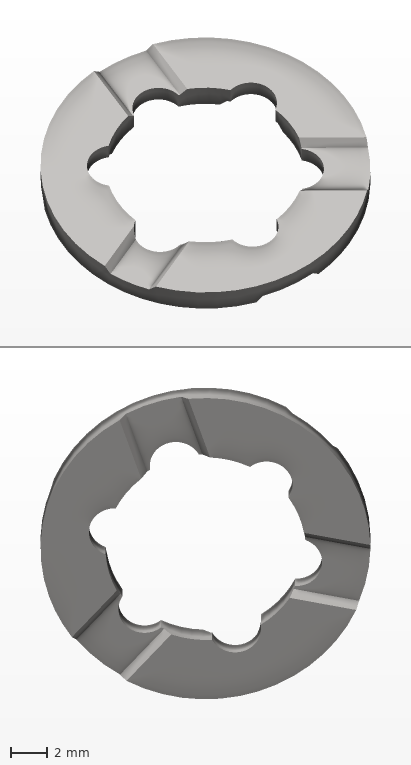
import cadquery as cq

outer_diameter = 18.3
thickness = 1.4
bore_radius = 5.55

scallop_count = 6
scallop_radius = 1.45
scallop_center_radius = 5.12

slot_depth = 0.4
top_half_width = 1.9
bottom_half_width = 2.01
narrow_half_width = 1.3
slots_per_face = 3
wide_slot_angles = (30, 150)
narrow_slot_angle = -90
bottom_slot_start_angle = 90

outer_radius = outer_diameter / 2
slot_length = outer_radius + 0.18


def make_ring():
    """Flat ring whose bore is widened by evenly spaced scallops."""
    ring = cq.Workplane("XY").circle(outer_radius).circle(bore_radius).extrude(thickness)
    scallops = (
        cq.Workplane("XY")
        .polarArray(scallop_center_radius, 90, 360, scallop_count)
        .circle(scallop_radius)
        .extrude(thickness)
    )
    return ring.cut(scallops)


def slot_cutter(angle, face_z, floor_z, left_half_width, right_half_width):
    """Trapezoid running outward from the axis; left and right are seen from above, facing outward."""
    return (
        cq.Workplane("YZ")
        .moveTo(-right_half_width, face_z)
        .lineTo(left_half_width, face_z)
        .lineTo(left_half_width - slot_depth, floor_z)
        .lineTo(-right_half_width + slot_depth, floor_z)
        .close()
        .extrude(slot_length)
        .rotate((0, 0, 0), (0, 0, 1), angle)
    )


result = make_ring()

top_floor_z = thickness - slot_depth
for angle in wide_slot_angles:
    result = result.cut(slot_cutter(angle, thickness, top_floor_z, top_half_width, top_half_width))
result = result.cut(
    slot_cutter(narrow_slot_angle, thickness, top_floor_z, top_half_width, narrow_half_width)
)

for index in range(slots_per_face):
    angle = bottom_slot_start_angle + index * 360 / slots_per_face
    result = result.cut(slot_cutter(angle, 0, slot_depth, bottom_half_width, bottom_half_width))